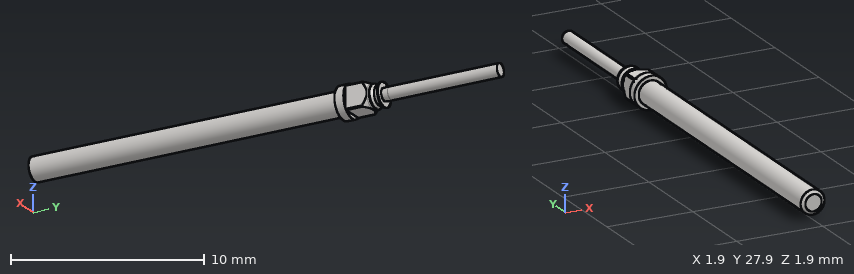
import cadquery as cq

length = 27.9
front_y = -length / 2
back_y = length / 2

barrel_radius = 0.7
front_face_radius = 0.47
front_bevel_length = 0.1

collar_radius = 0.95
collar_front_y = 4.58
collar_length = 0.53
collar_back_y = collar_front_y + collar_length

square_width = 2 * barrel_radius
square_length = 1.25
square_back_y = collar_back_y + square_length
corner_bevel_length = 0.28

ridge_radius = barrel_radius
ridge_y = 6.53
narrow_groove_radius = 0.6
wide_groove_radius = 0.53
wide_groove_y = 6.7
rim_front_y = 6.98
rim_back_y = 7.03

wire_radius = 0.377
taper_radius = 0.35
wire_front_y = 7.42


def revolve_profile(points):
    """Revolve (radius, y) points, closed along the axis, about Y."""
    outline = [(0, points[0][1])] + points + [(0, points[-1][1])]
    return cq.Workplane("XY").polyline(outline).close().revolve(360, (0, 0, 0), (0, 1, 0))


def make_barrel_and_collar():
    return revolve_profile([
        (front_face_radius, front_y),
        (barrel_radius, front_y + front_bevel_length),
        (barrel_radius, collar_front_y),
        (collar_radius, collar_front_y),
        (collar_radius, collar_back_y),
    ])


def make_square():
    """Square prism with its corners turned round and bevelled at the back."""
    turned_blank = revolve_profile([
        (collar_radius, collar_back_y),
        (collar_radius, square_back_y - corner_bevel_length),
        (barrel_radius, square_back_y),
    ])
    prism = cq.Workplane("XY").box(square_width, square_length, square_width)
    prism = prism.translate((0, collar_back_y + square_length / 2, 0))
    return turned_blank.intersect(prism)


def make_neck_and_wire():
    return revolve_profile([
        (barrel_radius, square_back_y),
        (narrow_groove_radius, (square_back_y + ridge_y) / 2),
        (ridge_radius, ridge_y),
        (wide_groove_radius, wide_groove_y),
        (ridge_radius, rim_front_y),
        (ridge_radius, rim_back_y),
        (taper_radius, rim_back_y),
        (wire_radius, wire_front_y),
        (wire_radius, back_y),
    ])


result = make_barrel_and_collar().union(make_square()).union(make_neck_and_wire())